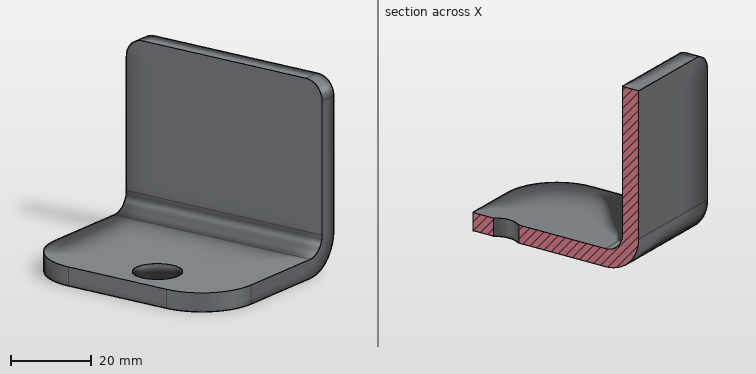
import cadquery as cq

width = 60.0
depth = 50.0
height = 50.0
thickness = 5.0
inner_bend_radius = 5.0
outer_bend_radius = inner_bend_radius + thickness
upright_corner_radius = 5.0
base_corner_radius = 15.0

hole_diameter = 12.5
hole_from_left = 35.0
hole_from_front = 10.0


def bent_strip():
    """L-shaped sheet with a rounded bend, front edge at Y = 0, centred on X = 0."""
    inner_face = depth - thickness
    return (
        cq.Workplane("YZ")
        .moveTo(0, 0)
        .lineTo(depth - outer_bend_radius, 0)
        .radiusArc((depth, outer_bend_radius), -outer_bend_radius)
        .lineTo(depth, height)
        .lineTo(inner_face, height)
        .lineTo(inner_face, outer_bend_radius)
        .radiusArc((depth - outer_bend_radius, thickness), inner_bend_radius)
        .lineTo(0, thickness)
        .close()
        .extrude(width / 2, both=True)
    )


def round_corners(body):
    """Round the two front corners of the base and the two top corners of the upright."""
    body = body.faces("<Y").edges("|Z").fillet(base_corner_radius)
    return body.faces(">Z").edges("|Y").fillet(upright_corner_radius)


def base_hole():
    """Cutter for the through hole in the base flange."""
    return (
        cq.Workplane("XY")
        .center(hole_from_left - width / 2, hole_from_front)
        .circle(hole_diameter / 2)
        .extrude(thickness)
    )


result = round_corners(bent_strip()).cut(base_hole())